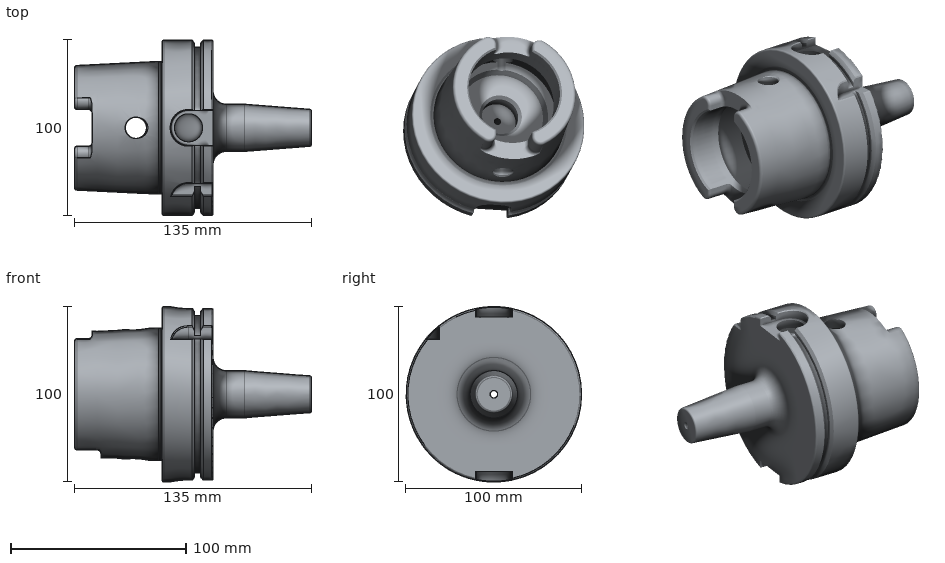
import cadquery as cq
import math


shank_length = 50.0
taper_diameter_at_face = 76.0
taper_ratio = 0.1
shank_rim_fillet = 1.6
relief_diameter = 75.52
relief_length = 2.0
relief_undercut_start = 0.6
undercut_diameter = 74.4
face_recess_diameter = 79.4
face_recess_floor_diameter = 77.0
face_recess_depth = 0.4

flange_diameter = 100.0
flange_length = 29.0
flange_edge_fillet = 1.0
groove_diameter = 92.0
groove_start = 18.4
groove_end = 21.8
groove_bevel_diameter = 96.2
left_lip_bevel = 1.3
right_lip_bevel = 1.6

nose_end = 85.0
neck_diameter = 27.0
neck_fillet = 7.5
tip_diameter = 21.0
tip_fillet = 1.0
nose_angle = math.radians(4.5)

bore_diameter = 53.0
bore_mouth_chamfer = 1.0
clamp_edge_depth = 20.0
clamp_diameter = 63.0
clamp_angle = math.radians(60.0)
chamber_end_x = -9.5
bore_step_diameter = 54.0
bore_floor_diameter = 49.0
socket_diameter = 21.0
socket_mouth_diameter = 24.5
socket_depth = 10.0
coolant_diameter = 4.13

cross_hole_diameter = 12.0
cross_hole_chamfer = 0.5
cross_hole_x = -15.0

drive_half_width = 10.4
drive_round = 4.5
top_drive_depth = 10.0
bottom_drive_depth = 15.0
drive_floor_fillet = 2.0

slot_width = 20.0
slot_end_x = 15.0
slot_floor_z = 44.0
slot_chamfer = 0.5
notch_offset = 31.6
pocket_diameter = 16.0
pocket_depth = 5.2

slot_rim_end = flange_length - flange_edge_fillet
tolerance = 0.1
outside = flange_diameter


def taper_radius(x):
    return (taper_diameter_at_face + taper_ratio * x) / 2


def revolve_about_x(profile):
    return profile.close().revolve(360, (0, 0, 0), (1, 0, 0))


def outer_body():
    flange_r = flange_diameter / 2
    neck_r = neck_diameter / 2
    tip_r = tip_diameter / 2
    cone_start = nose_end - (neck_r - tip_r) / math.tan(nose_angle)
    fillet_mid = neck_fillet * (1 - math.sqrt(0.5))
    profile = (
        cq.Workplane("XY")
        .moveTo(-shank_length, 0)
        .lineTo(-shank_length, taper_radius(-shank_length))
        .lineTo(-relief_length, taper_radius(-relief_length))
        .lineTo(-relief_length, relief_diameter / 2)
        .lineTo(-relief_undercut_start, relief_diameter / 2)
        .lineTo(face_recess_depth, undercut_diameter / 2)
        .lineTo(face_recess_depth, face_recess_floor_diameter / 2)
        .lineTo(0, face_recess_diameter / 2)
        .lineTo(0, flange_r)
        .lineTo(flange_length, flange_r)
        .lineTo(flange_length, neck_r + neck_fillet)
        .threePointArc(
            (flange_length + fillet_mid, neck_r + fillet_mid),
            (flange_length + neck_fillet, neck_r),
        )
        .lineTo(cone_start, neck_r)
        .lineTo(nose_end, tip_r)
        .lineTo(nose_end, 0)
    )
    body = revolve_about_x(profile)
    body = round_circle(body, 0, flange_r, flange_edge_fillet)
    body = round_circle(body, flange_length, flange_r, flange_edge_fillet)
    return round_circle(body, nose_end, tip_r, tip_fillet)


def gripper_groove():
    flange_r = flange_diameter / 2
    bevel_r = groove_bevel_diameter / 2
    groove_r = groove_diameter / 2
    profile = (
        cq.Workplane("XY")
        .moveTo(groove_start - left_lip_bevel, flange_r)
        .lineTo(groove_start, bevel_r)
        .lineTo(groove_start, groove_r)
        .lineTo(groove_end, groove_r)
        .lineTo(groove_end, bevel_r)
        .lineTo(groove_end + right_lip_bevel, flange_r)
    )
    return revolve_about_x(profile)


def round_circle(body, x, radius, fillet):
    ring_box = cq.selectors.BoxSelector(
        (x - tolerance, -radius - tolerance, -radius - tolerance),
        (x + tolerance, radius + tolerance, radius + tolerance),
        boundingbox=True,
    )
    on_ring = [e for e in body.edges(ring_box).vals()
               if e.geomType() == "CIRCLE" and abs(e.radius() - radius) < tolerance]
    return body.newObject(on_ring).fillet(fillet)


def bore():
    bore_r = bore_diameter / 2
    clamp_r = clamp_diameter / 2
    floor_r = bore_floor_diameter / 2
    step_r = bore_step_diameter / 2
    mouth_r = socket_mouth_diameter / 2
    socket_r = socket_diameter / 2
    clamp_x = clamp_edge_depth - shank_length
    cone_length = (clamp_r - bore_r) / math.tan(clamp_angle)
    bore_floor_x = chamber_end_x + step_r - floor_r
    socket_x = bore_floor_x + socket_depth
    profile = (
        cq.Workplane("XY")
        .moveTo(-shank_length, 0)
        .lineTo(-shank_length, bore_r + bore_mouth_chamfer)
        .lineTo(-shank_length + bore_mouth_chamfer, bore_r)
        .lineTo(clamp_x, bore_r)
        .lineTo(clamp_x + cone_length, clamp_r)
        .lineTo(chamber_end_x, clamp_r)
        .lineTo(chamber_end_x, step_r)
        .lineTo(bore_floor_x, floor_r)
        .lineTo(bore_floor_x, mouth_r)
        .lineTo(bore_floor_x + mouth_r - socket_r, socket_r)
        .lineTo(socket_x, socket_r)
        .lineTo(socket_x, coolant_diameter / 2)
        .lineTo(nose_end, coolant_diameter / 2)
        .lineTo(nose_end, 0)
    )
    return revolve_about_x(profile)


def mirrored(point):
    return (-point[0], point[1])


def lowered(point):
    return (point[0], -point[1])


lug_radius = taper_radius(shank_rim_fillet - shank_length)
lug_corner_y = drive_half_width + drive_round
lug_corner_z = math.sqrt((lug_radius - drive_round) ** 2 - lug_corner_y ** 2)
lug_corner_angle = math.atan2(lug_corner_z, lug_corner_y)
lug_wall_top = (drive_half_width, lug_corner_z)


def on_lug_corner(angle):
    return (
        lug_corner_y + drive_round * math.cos(angle),
        lug_corner_z + drive_round * math.sin(angle),
    )


lug_corner_mid = on_lug_corner((math.pi + lug_corner_angle) / 2)
lug_corner_end = on_lug_corner(lug_corner_angle)


def drive_slot(depth):
    """Upward slot from the shank end whose walls flare around the drive lugs."""
    flare = (outside * math.cos(lug_corner_angle), outside * math.sin(lug_corner_angle))
    return (
        cq.Workplane("YZ", origin=(-shank_length, 0, 0))
        .moveTo(-drive_half_width, 0)
        .lineTo(drive_half_width, 0)
        .lineTo(*lug_wall_top)
        .threePointArc(lug_corner_mid, lug_corner_end)
        .lineTo(*flare)
        .lineTo(*mirrored(flare))
        .lineTo(*mirrored(lug_corner_end))
        .threePointArc(mirrored(lug_corner_mid), mirrored(lug_wall_top))
        .close()
        .extrude(depth)
        .faces(">X")
        .edges()
        .fillet(drive_floor_fillet)
    )


def lug_tip():
    """End of the +Y drive lug as a D-shaped block with its end rim rounded."""
    return (
        cq.Workplane("YZ", origin=(-shank_length, 0, 0))
        .moveTo(*lowered(lug_wall_top))
        .lineTo(*lug_wall_top)
        .threePointArc(lug_corner_mid, lug_corner_end)
        .threePointArc((lug_radius, 0), lowered(lug_corner_end))
        .threePointArc(lowered(lug_corner_mid), lowered(lug_wall_top))
        .close()
        .extrude(2 * shank_rim_fillet)
        .faces("<X")
        .edges()
        .fillet(shank_rim_fillet)
    )


def shank_rim_cut():
    """Everything outside the two rounded lug tips over the rim fillet's length."""
    tip = lug_tip()
    return (
        cq.Workplane("YZ", origin=(-shank_length, 0, 0))
        .circle(taper_diameter_at_face / 2)
        .extrude(shank_rim_fillet)
        .cut(tip)
        .cut(tip.mirror("XZ"))
    )


def cross_hole():
    """Hole along Z through both shank walls, chamfered where it meets the taper."""
    hole_r = cross_hole_diameter / 2
    taper_r = taper_radius(cross_hole_x)
    hole = cq.Workplane("XY", origin=(cross_hole_x, 0, 0)).circle(hole_r).extrude(taper_r, both=True)
    cone_height = 2 * cross_hole_chamfer
    mouth = (
        cq.Workplane("XY", origin=(cross_hole_x, 0, taper_r - cross_hole_chamfer))
        .circle(hole_r)
        .workplane(offset=cone_height)
        .circle(hole_r + cone_height)
        .loft()
    )
    return hole.union(mouth).union(mouth.rotate((0, 0, 0), (1, 0, 0), 180))


def flange_slot(centre_y, floor_z):
    """Slot with a rounded end, open toward the nose and upward from its floor."""
    radius = slot_width / 2
    return (
        cq.Workplane("XY", origin=(0, centre_y, floor_z))
        .moveTo(flange_length, -radius)
        .lineTo(slot_end_x, -radius)
        .threePointArc((slot_end_x - radius, 0), (slot_end_x, radius))
        .lineTo(flange_length, radius)
        .close()
        .extrude(flange_diameter / 2 - floor_z)
    )


def pocket():
    return (
        cq.Workplane("XY", origin=(slot_end_x, 0, slot_floor_z - pocket_depth))
        .circle(pocket_diameter / 2)
        .extrude(flange_diameter / 2 - slot_floor_z + pocket_depth)
    )


def is_slot_rim(edge):
    """True for flange rim edges away from both end circles and the face's seam at +Y."""
    centre = edge.Center()
    between_ends = flange_edge_fillet < centre.x - tolerance and centre.x + tolerance < slot_rim_end
    return between_ends and centre.y < slot_width


def flange_blank():
    """Outer body with the flange slots cut and their outer rims chamfered."""
    gripper_slot = flange_slot(0, slot_floor_z)
    notch = flange_slot(-notch_offset - slot_width / 2, notch_offset)
    body = outer_body().cut(gripper_slot)
    body = body.cut(gripper_slot.rotate((0, 0, 0), (1, 0, 0), 180)).cut(notch)
    rim_face = max(body.faces("%CYLINDER").vals(), key=lambda face: face.Area())
    rims = [edge for edge in rim_face.Edges() if is_slot_rim(edge)]
    return body.newObject(rims).chamfer(slot_chamfer)


result = (
    flange_blank()
    .cut(gripper_groove())
    .cut(shank_rim_cut())
    .cut(drive_slot(top_drive_depth))
    .cut(drive_slot(bottom_drive_depth).rotate((0, 0, 0), (1, 0, 0), 180))
    .cut(bore())
    .cut(cross_hole())
    .cut(pocket())
)